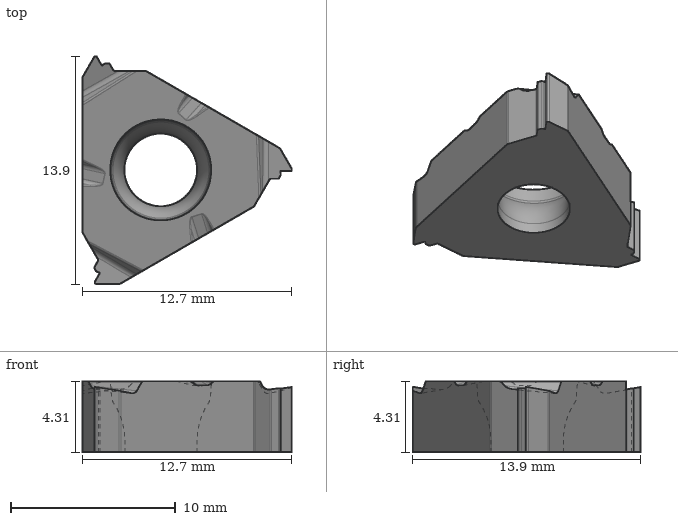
import cadquery as cq
import math

CORNERS = 3
CORNER_STEP = 360 / CORNERS
THICKNESS = 4.31
FLAT_DISTANCE = 4.76

HOLE_RADIUS = 4.4 / 2
BORE_TOP_RADIUS = 3.07
BORE_END_RADIUS = 3.0
BORE_DEPTH = 0.98
SEAT_RADIUS = 2.92
SEAT_DEPTH = 1.25
SEAT_END_DEPTH = 3.55

CORNER_LINES = [
    (60, FLAT_DISTANCE, 0.25),
    (30, 6.94, 0.12),
    (-30, 6.91, 0.07),
    (-90, 0.076, 0.04),
    (25, 6.54, 0.07),
    (0, 7.3, 0.05),
    (-30, 6.48, 0.07),
    (-90, 0.54, 0.11),
    (-30, 6.02, 0.25),
]

GROOVE_BOTTOM_X = 6.3
GROOVE_BOTTOM_DEPTH = 0.6
GROOVE_WALL_ANGLE = 61
GROOVE_FLOOR_ANGLE = 8.3
GROOVE_FALL = 0.094
GROOVE_DRIFT = 0.013
GROOVE_ROOT_RADIUS = 0.33
GROOVE_LIP_RADIUS = 0.15
GROOVE_REACH = 3.46
GROOVE_RISE = 1.66
GROOVE_OUTER_X = 9

NOTCH_OFFSET = -0.22
NOTCH_TURN = -12.5
NOTCH_DEPTH = 0.25
NOTCH_LENGTH = 1.33
NOTCH_FLOOR_WIDTH = 0.61
NOTCH_ROOT_RADIUS = 0.42
NOTCH_WALL_ANGLE = 40
NOTCH_LIP_RADIUS = 0.14
NOTCH_OVERRUN = 0.69
NOTCH_CUTTER_HEIGHT = 0.69


def turned(point, degrees):
    """Rotate a 2D point about the origin."""
    c = math.cos(math.radians(degrees))
    s = math.sin(math.radians(degrees))
    return (point[0] * c - point[1] * s, point[0] * s + point[1] * c)


def crossing(first, second):
    """Intersection of two lines given as (normal angle, distance, ...)."""
    a, b = math.radians(first[0]), math.radians(second[0])
    spread = math.sin(b - a)
    x = (first[1] * math.sin(b) - second[1] * math.sin(a)) / spread
    y = (second[1] * math.cos(a) - first[1] * math.cos(b)) / spread
    return cq.Vector(x, y)


def rounded_outline(vertices, radii):
    """Closed polygon on the XY plane with its own radius at every vertex."""
    arcs = []
    for i, (vertex, radius) in enumerate(zip(vertices, radii)):
        back = (vertices[i - 1] - vertex).normalized()
        ahead = (vertices[(i + 1) % len(vertices)] - vertex).normalized()
        half_angle = back.getAngle(ahead) / 2
        setback = radius / math.tan(half_angle)
        to_middle = radius / math.sin(half_angle) - radius
        middle = vertex + (back + ahead).normalized() * to_middle
        arcs.append((vertex + back * setback, middle, vertex + ahead * setback))
    outline = cq.Workplane("XY").moveTo(*arcs[0][0].toTuple()[:2])
    for start, middle, end in arcs:
        if start is not arcs[0][0]:
            outline = outline.lineTo(start.x, start.y)
        outline = outline.threePointArc((middle.x, middle.y), (end.x, end.y))
    return outline.close()


def make_body():
    lines = []
    for i in range(CORNERS):
        lines += [(angle - i * CORNER_STEP, *rest) for angle, *rest in CORNER_LINES]
    vertices = [crossing(line, lines[(i + 1) % len(lines)]) for i, line in enumerate(lines)]
    return rounded_outline(vertices, [line[2] for line in lines]).extrude(THICKNESS)


def make_screw_hole():
    run = SEAT_RADIUS - HOLE_RADIUS
    drop = SEAT_END_DEPTH - SEAT_DEPTH
    arc_radius = (run**2 + drop**2) / (2 * run)
    half_sweep = math.asin(drop / arc_radius) / 2
    arc_middle = (
        HOLE_RADIUS + arc_radius * (1 - math.cos(half_sweep)),
        THICKNESS - SEAT_END_DEPTH + arc_radius * math.sin(half_sweep),
    )
    return (
        cq.Workplane("XZ")
        .lineTo(0, THICKNESS)
        .lineTo(BORE_TOP_RADIUS, THICKNESS)
        .lineTo(BORE_END_RADIUS, THICKNESS - BORE_DEPTH)
        .tangentArcPoint((SEAT_RADIUS, THICKNESS - SEAT_DEPTH), relative=False)
        .threePointArc(arc_middle, (HOLE_RADIUS, THICKNESS - SEAT_END_DEPTH))
        .lineTo(HOLE_RADIUS, 0)
        .close()
        .revolve(360, (0, 0, 0), (0, 1, 0))
    )


def make_groove_cutter():
    direction = cq.Vector(GROOVE_DRIFT, 1, -GROOVE_FALL)
    bottom = cq.Vector(GROOVE_BOTTOM_X, 0, THICKNESS - GROOVE_BOTTOM_DEPTH)
    wall_run = GROOVE_RISE / math.tan(math.radians(GROOVE_WALL_ANGLE))
    floor_run = GROOVE_OUTER_X - GROOVE_BOTTOM_X
    floor_rise = floor_run * math.tan(math.radians(GROOVE_FLOOR_ANGLE))
    section = [
        bottom,
        bottom + cq.Vector(floor_run, 0, floor_rise),
        bottom + cq.Vector(floor_run, 0, GROOVE_RISE),
        bottom + cq.Vector(-wall_run, 0, GROOVE_RISE),
    ]
    start = direction * -GROOVE_REACH
    wire = cq.Wire.makePolygon([point + start for point in section], close=True)
    prism = cq.Solid.extrudeLinear(wire, [], direction * (2 * GROOVE_REACH))
    return cq.Workplane(prism).edges(cq.NearestToPointSelector(bottom.toTuple())).fillet(GROOVE_ROOT_RADIUS)


def groove_lip_point():
    """Middle of the sharp edge where the groove wall meets the top, in X and Y."""
    run = GROOVE_BOTTOM_DEPTH / math.tan(math.radians(GROOVE_WALL_ANGLE))
    return (GROOVE_BOTTOM_X - run, 0)


def make_notch_cutter():
    wall = math.radians(NOTCH_WALL_ANGLE)
    floor_edge = NOTCH_FLOOR_WIDTH / 2
    arc_middle = (
        floor_edge + NOTCH_ROOT_RADIUS * math.sin(wall / 2),
        NOTCH_ROOT_RADIUS * (1 - math.cos(wall / 2)),
    )
    arc_end = (
        floor_edge + NOTCH_ROOT_RADIUS * math.sin(wall),
        NOTCH_ROOT_RADIUS * (1 - math.cos(wall)),
    )
    wall_top = arc_end[0] + (NOTCH_CUTTER_HEIGHT - arc_end[1]) / math.tan(wall)
    cutter = (
        cq.Workplane("YZ", origin=(-NOTCH_OVERRUN, 0, 0))
        .moveTo(0, 0)
        .lineTo(floor_edge, 0)
        .threePointArc(arc_middle, arc_end)
        .lineTo(wall_top, NOTCH_CUTTER_HEIGHT)
        .lineTo(0, NOTCH_CUTTER_HEIGHT)
        .mirrorY()
        .extrude(NOTCH_OVERRUN + 2 * NOTCH_LENGTH)
    )
    ramp = math.degrees(math.atan(NOTCH_DEPTH / NOTCH_LENGTH))
    return (
        cutter.rotate((0, 0, 0), (0, 1, 0), -ramp)
        .rotate((0, 0, 0), (0, 0, 1), NOTCH_TURN)
        .translate((-FLAT_DISTANCE, NOTCH_OFFSET, THICKNESS - NOTCH_DEPTH))
    )


def notch_end_point():
    """Middle of the edge where the notch floor runs out at the top, in X and Y."""
    x, y = turned((NOTCH_LENGTH, 0), NOTCH_TURN)
    return (x - FLAT_DISTANCE, y + NOTCH_OFFSET)


result = make_body()

groove_cutter = make_groove_cutter()
for i in range(CORNERS):
    turn = i * CORNER_STEP
    result = result.cut(groove_cutter.rotate((0, 0, 0), (0, 0, 1), turn))
    lip = (*turned(groove_lip_point(), turn), THICKNESS)
    result = result.edges(cq.NearestToPointSelector(lip)).fillet(GROOVE_LIP_RADIUS)

notch_cutter = make_notch_cutter()
for i in range(CORNERS):
    turn = i * CORNER_STEP
    result = result.cut(notch_cutter.rotate((0, 0, 0), (0, 0, 1), turn))
    lip = (*turned(notch_end_point(), turn), THICKNESS)
    result = result.edges(cq.NearestToPointSelector(lip)).fillet(NOTCH_LIP_RADIUS)

result = result.cut(make_screw_hole())